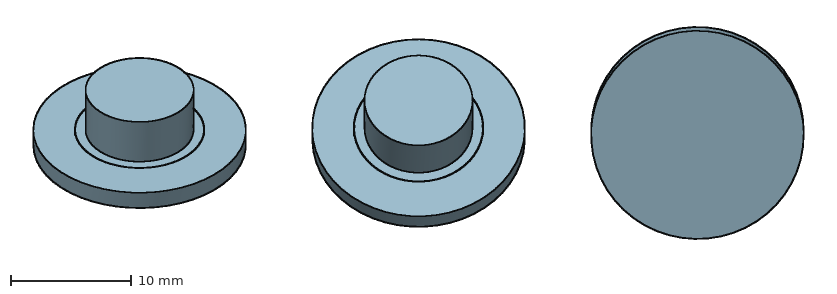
import cadquery as cq

disc_diameter = 17.7
disc_thickness = 1.6
recess_diameter = 10.8
recess_depth = disc_thickness / 2

flange_diameter = 10.7
flange_thickness = recess_depth
boss_diameter = 9.0
overall_height = 5.7
boss_height = overall_height - disc_thickness


def make_disc():
    """Flat disc resting on Z = 0, with the recess open at the top."""
    disc = cq.Workplane("XY").circle(disc_diameter / 2).extrude(disc_thickness)
    return disc.faces(">Z").workplane().circle(recess_diameter / 2).cutBlind(-recess_depth)


def make_plug():
    """Stepped plug standing on the recess floor, its flange flush with the top of the disc."""
    recess_floor = cq.Workplane("XY").workplane(offset=disc_thickness - recess_depth)
    flange = recess_floor.circle(flange_diameter / 2).extrude(flange_thickness)
    return flange.faces(">Z").workplane().circle(boss_diameter / 2).extrude(boss_height)


disc = make_disc()
plug = make_plug()

result = cq.Compound.makeCompound([disc.val(), plug.val()])